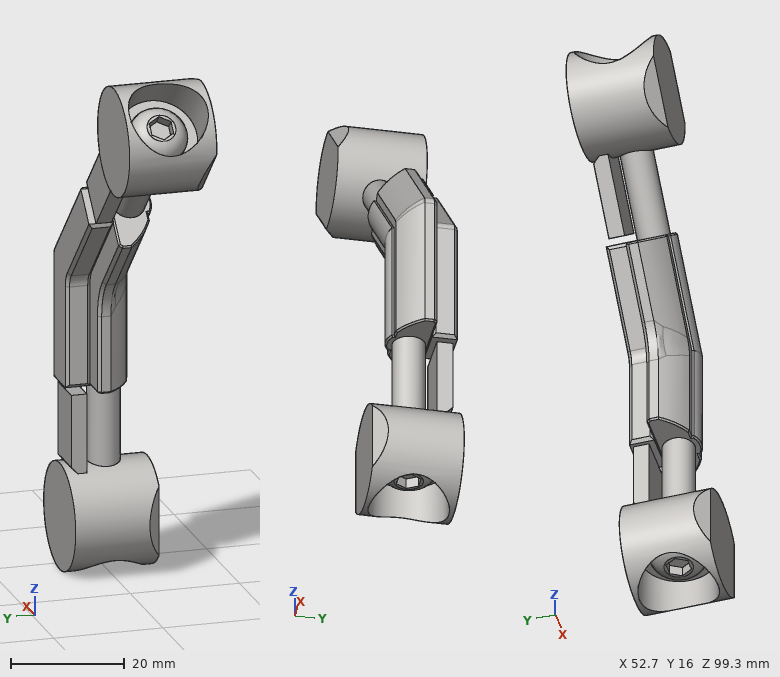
import cadquery as cq
import math

OVERALL_HEIGHT = 99.3
BEND_ANGLE = 45.0
BARREL_DIA = 19.7
BARREL_LENGTH = 16.0
BEND = math.radians(BEND_ANGLE)
ARM_REACH = (OVERALL_HEIGHT - BARREL_DIA) / (1 + math.cos(BEND))
BACK = BARREL_LENGTH / 2

BARREL_FLAT = 2.4
COUNTERBORE_DIA = 14.3
SEAT_OFFSET = 0.4

KEY_WIDTH = 8.2
KEY_THICKNESS = 2.9
KEY_BACK = BACK - 0.9
KEY_FRONT = KEY_BACK - KEY_THICKNESS
KEY_TIP = 23.5
KEY_ROOT = 7.9
KEY_BEVEL_START = 10.1

SCREW_DIA = 6.0
SCREW_TIP = 34.8
HEAD_DIA = 10.5
HEAD_HEIGHT = 3.3
HEAD_RIM = 0.6
HEAD_TOP_DIA = 5.2
DOME_BULGE = 0.4
SOCKET_FLATS = 4.0
SOCKET_DEPTH = 2.0
SOCKET_TURN = 30.0

ELBOW_START = 24.8
WING_HALF = 8.6
WING_BACK = 3.5
WING_SIDE_FRONT = 1.2
FACE_HALF = 3.8
FACE_FRONT = -3.1
FLANK_BULGE = 0.4
TUBE_RADIUS = 4.2
TUBE_STEP = 0.4
RAIL_HALF = 4.1
EDGE_CHAMFER = 0.6
END_CHAMFER = 0.3
WING_INNER_RADIUS = 9.6
RAIL_INNER_RADIUS = 3.4
OUTER_RADIUS = 2.0
NOT_ACROSS = "not (|X or |(1,0,1))"


def at_upper_barrel(shape):
    """Move a body from the lower barrel's place to the upper barrel's, arm towards the corner."""
    upper_x = -ARM_REACH * math.sin(BEND)
    upper_z = ARM_REACH * (1 + math.cos(BEND))
    return shape.rotate((0, 0, 0), (0, 1, 0), 180 - BEND_ANGLE).translate((upper_x, 0, upper_z))


def make_barrel():
    """Cross barrel with its key, bored and counterbored along the arm axis."""
    radius = BARREL_DIA / 2
    barrel = (
        cq.Workplane("XZ", origin=(0, BACK, 0))
        .circle(radius)
        .extrude(BARREL_LENGTH)
    )
    for side in (-1, 1):
        corner = (
            cq.Workplane("XY", origin=(0, 0, -radius))
            .polyline([
                (side * radius, -BACK),
                (side * (radius - BARREL_FLAT), -BACK),
                (side * radius, -BACK + BARREL_FLAT),
            ])
            .close()
            .extrude(BARREL_DIA)
        )
        barrel = barrel.cut(corner)
    key = (
        cq.Workplane("YZ", origin=(-KEY_WIDTH / 2, 0, 0))
        .polyline([
            (KEY_FRONT, KEY_ROOT),
            (KEY_BACK - (KEY_BEVEL_START - KEY_ROOT), KEY_ROOT),
            (KEY_BACK, KEY_BEVEL_START),
            (KEY_BACK, KEY_TIP),
            (KEY_FRONT, KEY_TIP),
        ])
        .close()
        .extrude(KEY_WIDTH)
    )
    bore = cq.Workplane("XY").circle(SCREW_DIA / 2).extrude(BARREL_DIA, both=True)
    counterbore = (
        cq.Workplane("XY", origin=(0, 0, -SEAT_OFFSET))
        .circle(COUNTERBORE_DIA / 2)
        .extrude(-BARREL_DIA)
    )
    return barrel.union(key).cut(bore).cut(counterbore)


def make_screw():
    """Screw on the arm axis: shank up to the tip, domed head below its seat."""
    seat = -SEAT_OFFSET
    top = seat - HEAD_HEIGHT
    rim = seat - HEAD_RIM
    dome_middle = ((HEAD_DIA + HEAD_TOP_DIA) / 4 + DOME_BULGE, (rim + top) / 2 - DOME_BULGE)
    screw = (
        cq.Workplane("XZ")
        .moveTo(0, top)
        .lineTo(HEAD_TOP_DIA / 2, top)
        .threePointArc(dome_middle, (HEAD_DIA / 2, rim))
        .lineTo(HEAD_DIA / 2, seat)
        .lineTo(SCREW_DIA / 2, seat)
        .lineTo(SCREW_DIA / 2, SCREW_TIP)
        .lineTo(0, SCREW_TIP)
        .close()
        .revolve(360, (0, 0, 0), (0, 1, 0))
    )
    socket = (
        cq.Workplane("XY", origin=(0, 0, top))
        .transformed(rotate=(0, 0, SOCKET_TURN))
        .polygon(6, SOCKET_FLATS, circumscribed=True)
        .extrude(SOCKET_DEPTH)
    )
    return screw.cut(socket)


def elbow_path():
    """Centreline of the elbow, from its lower end face round the corner to the upper one."""
    leg = ARM_REACH - ELBOW_START
    corner = (0, ARM_REACH)
    end = (-leg * math.sin(BEND), ARM_REACH + leg * math.cos(BEND))
    return cq.Workplane("XZ").polyline([(0, ELBOW_START), corner, end])


def end_section():
    """Workplane of the elbow's lower end face."""
    return cq.Workplane("XY", origin=(0, 0, ELBOW_START))


def bend_edges(body, near_half, far_half):
    """Mitre edges between two signed distances from the centreline, positive on the outer side."""
    slope = math.tan(BEND / 2)
    margin = 0.01
    box = cq.selectors.BoxSelector(
        (near_half - margin, -BACK, ARM_REACH + near_half * slope - margin),
        (far_half + margin, BACK, ARM_REACH + far_half * slope + margin),
    )
    return body.edges(box)


def upper_end_face(body):
    """End face of the slanted leg."""
    return body.faces(cq.selectors.DirectionMinMaxSelector(cq.Vector(-1, 0, 1)))


def make_wing():
    """Wide front part of the elbow, with curved flanks and the tube bulge over the screws."""
    tube_edge = FACE_FRONT - TUBE_STEP
    tube_half = math.sqrt(TUBE_RADIUS**2 - tube_edge**2)
    bulge = FLANK_BULGE * math.sqrt(0.5)
    flank_middle = (WING_HALF + FACE_HALF) / 2
    mid_x = flank_middle + bulge
    mid_y = (WING_SIDE_FRONT + FACE_FRONT) / 2 - bulge
    section = (
        end_section()
        .moveTo(-WING_HALF, WING_BACK)
        .lineTo(-WING_HALF, WING_SIDE_FRONT)
        .threePointArc((-mid_x, mid_y), (-FACE_HALF, FACE_FRONT))
        .lineTo(-tube_half, FACE_FRONT)
        .lineTo(-tube_half, tube_edge)
        .threePointArc((0, -TUBE_RADIUS), (tube_half, tube_edge))
        .lineTo(tube_half, FACE_FRONT)
        .lineTo(FACE_HALF, FACE_FRONT)
        .threePointArc((mid_x, mid_y), (WING_HALF, WING_SIDE_FRONT))
        .lineTo(WING_HALF, WING_BACK)
        .close()
    )
    wing = section.sweep(elbow_path(), transition="right")
    wing = bend_edges(wing, -WING_HALF, -flank_middle).fillet(WING_INNER_RADIUS)
    wing = bend_edges(wing, flank_middle, WING_HALF).fillet(OUTER_RADIUS)
    wing = wing.faces(">Y").edges(NOT_ACROSS).chamfer(EDGE_CHAMFER)
    wing = wing.faces("<Z").edges().chamfer(END_CHAMFER)
    return upper_end_face(wing).edges().chamfer(END_CHAMFER)


def make_rail():
    """Narrow rail along the back of the elbow, with chamfers framing its side faces."""
    section = (
        end_section()
        .center(0, (BACK + WING_BACK) / 2)
        .rect(2 * RAIL_HALF, BACK - WING_BACK)
    )
    rail = section.sweep(elbow_path(), transition="right")
    rail = bend_edges(rail, -RAIL_HALF, -RAIL_HALF).fillet(RAIL_INNER_RADIUS)
    rail = bend_edges(rail, RAIL_HALF, RAIL_HALF).fillet(OUTER_RADIUS)
    return rail.edges(NOT_ACROSS).chamfer(EDGE_CHAMFER)


def make_elbow():
    """Wing and rail in one piece, with a blind hole for each screw."""
    lower_hole = cq.Workplane("XY").circle(SCREW_DIA / 2).extrude(SCREW_TIP)
    elbow = make_wing().union(make_rail())
    return elbow.cut(lower_hole).cut(at_upper_barrel(lower_hole))


elbow = make_elbow()
clamps = []
for body in (make_barrel(), make_screw()):
    clamps.append(body.val())
    clamps.append(at_upper_barrel(body).val())
result = cq.Compound.makeCompound([elbow.val(), *clamps])